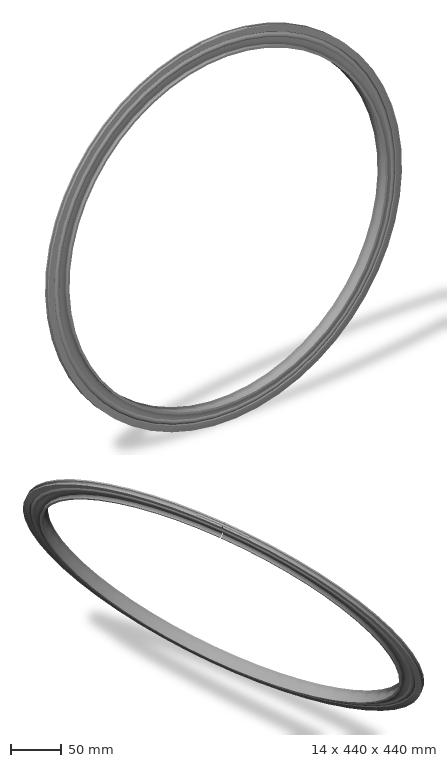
import cadquery as cq


sleeve_width = 14.0
sleeve_inner_radius = 197.0
sleeve_outer_radius = 199.5
web_width = 5.5

seal_diameter = 7.0
seal_center_radius = 209.0

outer_radius = 220.0
outer_ring_width = 6.0
bore_chamfer = 0.5
groove_width = 3.0
groove_depth = 2.25

slit_width = 1.0
slit_clearance = 1.0

wire_diameter = groove_depth
wire_span_angle = 15.0

sleeve_half_width = sleeve_width / 2
web_half_width = web_width / 2
outer_ring_half_width = outer_ring_width / 2
seal_radius = seal_diameter / 2
bore_radius = seal_center_radius + seal_radius
groove_radius = groove_width / 2
groove_floor_radius = outer_radius - groove_depth
groove_center_radius = groove_floor_radius + groove_radius
wire_radius = wire_diameter / 2
wire_center_radius = groove_floor_radius + wire_radius


def revolve_about_x(section, angle=360):
    """Turn a closed section about the X axis, starting at the +Z side."""
    return section.revolve(angle, (0, 0, 0), (1, 0, 0))


def make_seal():
    """O-ring of round section."""
    section = cq.Workplane("XZ").moveTo(0, seal_center_radius).circle(seal_radius)
    return revolve_about_x(section)


def make_slit():
    """Cutter for the radial slit across both metal rings at +Z."""
    bottom = sleeve_inner_radius - slit_clearance
    height = outer_radius + slit_clearance - bottom
    length = sleeve_width + 2 * slit_clearance
    return (
        cq.Workplane("XY")
        .workplane(offset=bottom)
        .box(length, slit_width, height, centered=(True, True, False))
    )


def make_inner_ring():
    """Slit T-section ring whose web is hollowed at its rim to seat the seal."""
    section = (
        cq.Workplane("XZ")
        .moveTo(-sleeve_half_width, sleeve_inner_radius)
        .lineTo(sleeve_half_width, sleeve_inner_radius)
        .lineTo(sleeve_half_width, sleeve_outer_radius)
        .lineTo(web_half_width, sleeve_outer_radius)
        .lineTo(web_half_width, seal_center_radius)
        .lineTo(-web_half_width, seal_center_radius)
        .lineTo(-web_half_width, sleeve_outer_radius)
        .lineTo(-sleeve_half_width, sleeve_outer_radius)
        .close()
    )
    return revolve_about_x(section).cut(make_seal()).cut(make_slit()).solids()


def make_outer_ring():
    """Slit ring with a chamfered bore touching the seal and a round-bottomed rim groove."""
    chamfered_half_width = outer_ring_half_width - bore_chamfer
    chamfer_radius = bore_radius + bore_chamfer
    section = (
        cq.Workplane("XZ")
        .moveTo(-chamfered_half_width, bore_radius)
        .lineTo(chamfered_half_width, bore_radius)
        .lineTo(outer_ring_half_width, chamfer_radius)
        .lineTo(outer_ring_half_width, outer_radius)
        .lineTo(groove_radius, outer_radius)
        .lineTo(groove_radius, groove_center_radius)
        .threePointArc((0, groove_floor_radius), (-groove_radius, groove_center_radius))
        .lineTo(-groove_radius, outer_radius)
        .lineTo(-outer_ring_half_width, outer_radius)
        .lineTo(-outer_ring_half_width, chamfer_radius)
        .close()
    )
    return revolve_about_x(section).cut(make_slit()).solids()


def make_wire():
    """Short bent wire resting on the groove floor, centred on the slit."""
    section = cq.Workplane("XZ").moveTo(0, wire_center_radius).circle(wire_radius)
    wire_from_slit = revolve_about_x(section, wire_span_angle)
    return wire_from_slit.rotate((0, 0, 0), (1, 0, 0), -wire_span_angle / 2)


inner_ring = make_inner_ring()
seal = make_seal()
outer_ring = make_outer_ring()
wire = make_wire()

result = cq.Compound.makeCompound([inner_ring.val(), seal.val(), outer_ring.val(), wire.val()])